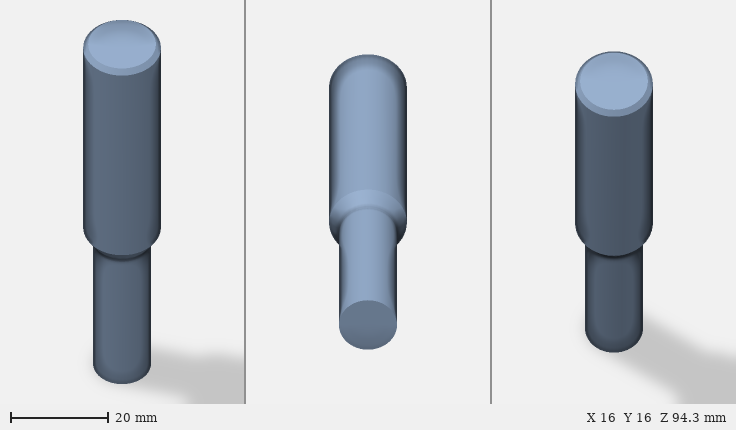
import cadquery as cq
import math

total_length = 94.3
head_diameter = 16.0
shank_diameter = 12.0
head_length = 54.1
top_chamfer = 1.0
taper_half_angle = 30.0
neck_fillet_radius = 2.0

head_radius = head_diameter / 2
shank_radius = shank_diameter / 2
shoulder_height = total_length - head_length
taper_length = (head_radius - shank_radius) / math.tan(math.radians(taper_half_angle))
neck_height = shoulder_height - taper_length


def stepped_pin():
    """Shank and head joined by a conical taper."""
    half_profile = (
        cq.Workplane("XZ")
        .moveTo(0, 0)
        .lineTo(shank_radius, 0)
        .lineTo(shank_radius, neck_height)
        .lineTo(head_radius, shoulder_height)
        .lineTo(head_radius, total_length)
        .lineTo(0, total_length)
        .close()
    )
    return half_profile.revolve(360, (0, 0), (0, 1))


def round_neck(pin):
    """Blend the shank smoothly into the taper."""
    neck_center = (0, 0, neck_height)
    neck_edge = pin.edges("%CIRCLE").edges(cq.NearestToPointSelector(neck_center))
    return neck_edge.fillet(neck_fillet_radius)


def chamfer_top(pin):
    """Bevel the rim of the head's end face."""
    return pin.faces(">Z").edges().chamfer(top_chamfer)


result = chamfer_top(round_neck(stepped_pin()))